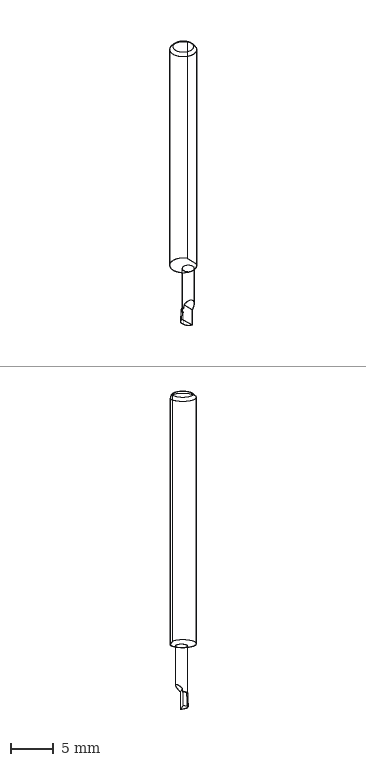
import cadquery as cq

total_length = 38.1
shank_diameter = 3.15
shank_radius = shank_diameter / 2
shank_depth = 2.95
shank_bottom = 7.62
top_chamfer = 0.4

neck_diameter = 1.4
neck_radius = neck_diameter / 2
neck_x = shank_radius - neck_radius

rake_top = 2.2
ramp_top = 2.85

head_height = 1.8
relief_corner_y = -0.5
tip_x = -0.21
bottom_relief_corner_x = 0.057
bottom_back_x = 0.285
head_top_tip_x = -0.095
top_relief_corner_x = 0.2
top_back_x = 0.45

end_rise_x = 0.05
end_rise_y = 0.1


def make_shank():
    shank = (
        cq.Workplane("XY")
        .workplane(offset=shank_bottom)
        .circle(shank_radius)
        .extrude(total_length - shank_bottom)
        .faces(">Z")
        .chamfer(top_chamfer)
    )
    kept_stock = (
        cq.Workplane("XY")
        .box(shank_diameter, shank_depth, total_length, centered=(True, False, False))
        .translate((0, -shank_radius, 0))
    )
    return shank.intersect(kept_stock)


def make_neck():
    neck = cq.Workplane("XY").center(neck_x, 0).circle(neck_radius).extrude(shank_bottom)
    rake_cut = (
        cq.Workplane("YZ")
        .polyline([(0, 0), (0, rake_top), (neck_radius, ramp_top), (neck_radius, 0)])
        .close()
        .extrude(shank_diameter, both=True)
    )
    return neck.cut(rake_cut)


def head_outline(front_x, relief_corner_x, back_x):
    """Plan outline of the head, from the cutting edge around to the neck."""
    return [
        (neck_x, 0),
        (front_x, 0),
        (relief_corner_x, relief_corner_y),
        (back_x, -neck_radius),
        (neck_x, -neck_radius),
    ]


def make_head():
    return (
        cq.Workplane("XY")
        .polyline(head_outline(tip_x, bottom_relief_corner_x, bottom_back_x))
        .close()
        .workplane(offset=head_height)
        .polyline(head_outline(head_top_tip_x, top_relief_corner_x, top_back_x))
        .close()
        .loft(ruled=True)
    )


def make_end_relief():
    """Block below the inclined end face, which touches only the cutting tip."""
    end_plane = cq.Plane(
        origin=(tip_x, 0, 0),
        xDir=(1, 0, end_rise_x),
        normal=(-end_rise_x, end_rise_y, 1),
    )
    block_side = 4 * shank_diameter
    return cq.Workplane(end_plane).rect(block_side, block_side).extrude(-shank_radius)


result = make_shank().union(make_neck()).union(make_head()).cut(make_end_relief())